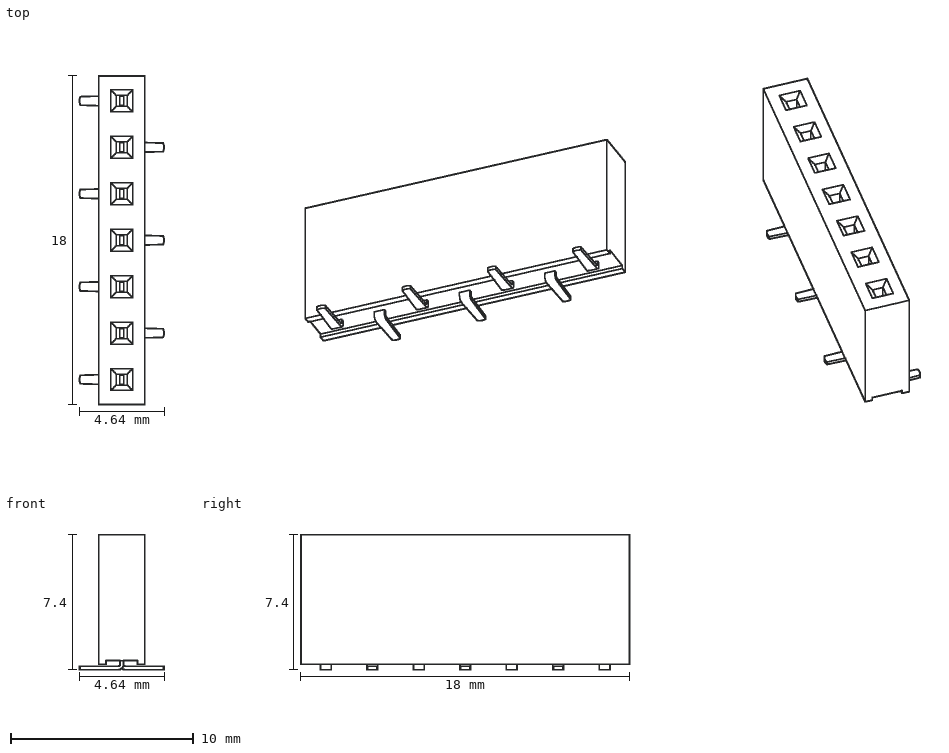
import cadquery as cq

pin_count = 7
pitch = 2.54
end_allowance = 0.2
body_width = 2.54
body_length = pin_count * pitch + end_allowance
total_height = 7.4
standoff = 0.3
groove_width = 1.7
groove_depth = 0.2

mouth_size = 1.2
throat_size = 0.6
funnel_depth = 0.3
socket_depth = 6.0

span = 4.64
sheet = 0.2
contact_width = 0.6
blade_width = 0.49
blade_projection = 0.5
bend_inner_radius = 0.1
tip_width = 0.48
tip_crown = 0.06

bend_outer_radius = bend_inner_radius + sheet
groove_top = standoff + groove_depth
socket_floor = total_height - socket_depth
stem_top = (groove_top + socket_floor) / 2


def make_housing():
    body = cq.Workplane("XY").box(
        body_width, body_length, total_height - standoff, centered=(True, True, False)
    )
    groove = cq.Workplane("XY").box(
        groove_width, body_length, groove_depth, centered=(True, True, False)
    )
    return body.cut(groove).translate((0, 0, standoff))


def make_socket():
    funnel = (
        cq.Workplane("XY", origin=(0, 0, total_height))
        .rect(mouth_size, mouth_size)
        .workplane(offset=-funnel_depth)
        .rect(throat_size, throat_size)
        .loft(ruled=True)
    )
    shaft = cq.Workplane("XY", origin=(0, 0, socket_floor)).box(
        throat_size, throat_size, socket_depth - funnel_depth, centered=(True, True, False)
    )
    return funnel.union(shaft)


def make_contact():
    """Contact with its solder tail pointing along +X."""
    half_sheet = sheet / 2
    tail_start = half_sheet + bend_inner_radius
    profile = (
        cq.Workplane("XZ", origin=(0, contact_width / 2, 0))
        .moveTo(-half_sheet, stem_top)
        .lineTo(-half_sheet, bend_outer_radius)
        .radiusArc((tail_start, 0), -bend_outer_radius)
        .lineTo(span / 2, 0)
        .lineTo(span / 2, sheet)
        .lineTo(tail_start, sheet)
        .radiusArc((half_sheet, bend_outer_radius), bend_inner_radius)
        .lineTo(half_sheet, stem_top)
        .close()
        .extrude(contact_width)
    )
    outline = (
        cq.Workplane("XY")
        .moveTo(-half_sheet, contact_width / 2)
        .lineTo(tail_start, contact_width / 2)
        .lineTo(span / 2 - tip_crown, tip_width / 2)
        .threePointArc((span / 2, 0), (span / 2 - tip_crown, -tip_width / 2))
        .lineTo(tail_start, -contact_width / 2)
        .lineTo(-half_sheet, -contact_width / 2)
        .close()
        .extrude(stem_top)
    )
    tail = profile.intersect(outline)
    blade = cq.Workplane("XY", origin=(0, 0, groove_top)).box(
        sheet, blade_width, socket_floor + blade_projection - groove_top, centered=(True, True, False)
    )
    return tail.union(blade)


result = make_housing()
socket = make_socket()
right_contact = make_contact()
left_contact = right_contact.rotate((0, 0, 0), (0, 0, 1), 180)
for index in range(pin_count):
    y = (index - (pin_count - 1) / 2) * pitch
    contact = left_contact if index % 2 == 0 else right_contact
    result = result.cut(socket.translate((0, y, 0)))
    result = result.union(contact.translate((0, y, 0)))